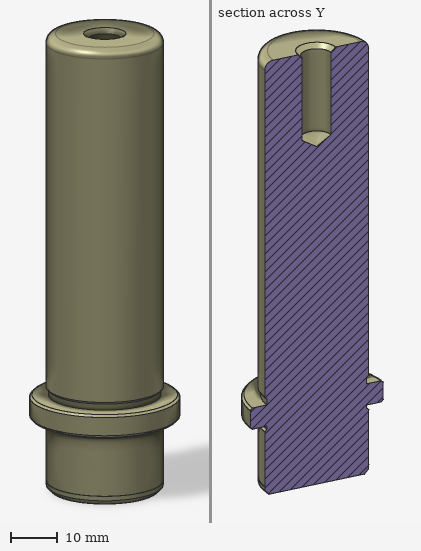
import cadquery as cq
import math

length = 101.0
body_radius = 25.0 / 2
flange_radius = 32.0 / 2
neck_radius = 24.0 / 2

flange_bottom = 16.0
flange_thickness = 5.0
flange_top = flange_bottom + flange_thickness
lower_neck_height = 0.6
upper_neck_height = 1.3

flange_chamfer = 0.5
neck_chamfer_inset = body_radius - neck_radius
neck_chamfer_height = 0.5
top_fillet = 2.0
lead_in_chamfer = 1.0
pilot_height = 2.0
pilot_clearance = 0.05
pilot_radius = body_radius - pilot_clearance

hole_radius = 6.9 / 2
countersink_radius = 9.0 / 2
hole_depth = 20.2
drill_tip_angle = 118.0


def cylinder(radius, bottom, top):
    return cq.Workplane("XY").workplane(offset=bottom).circle(radius).extrude(top - bottom)


def make_spigot():
    """Fitting end below the flange, with a slightly smaller chamfered pilot."""
    return (
        cylinder(pilot_radius, 0, pilot_height)
        .faces("<Z").edges().chamfer(lead_in_chamfer)
        .union(
            cylinder(body_radius, pilot_height, flange_bottom - lower_neck_height)
            .faces(">Z").edges().chamfer(neck_chamfer_height, neck_chamfer_inset)
        )
    )


def make_pillar():
    """Long guide shaft above the flange, rounded at its free end."""
    pillar = cylinder(body_radius, flange_top + upper_neck_height, length)
    return (
        pillar.faces("<Z").edges().chamfer(neck_chamfer_height, neck_chamfer_inset)
        .faces(">Z").edges().fillet(top_fillet)
    )


def make_flange():
    flange = cylinder(flange_radius, flange_bottom, flange_top)
    return flange.edges("%CIRCLE").chamfer(flange_chamfer)


def make_neck():
    """Core joining the shafts and flange, exposed as a relief on each flange side."""
    return cylinder(neck_radius, flange_bottom / 2, flange_top + 2 * upper_neck_height)


def make_hole():
    """Blind drilled hole with a conical tip and a 45 degree countersink."""
    tip_height = hole_radius / math.tan(math.radians(drill_tip_angle / 2))
    countersink_depth = countersink_radius - hole_radius
    hole_floor = length - hole_depth
    return (
        cq.Workplane("XZ")
        .moveTo(0, hole_floor - tip_height)
        .lineTo(hole_radius, hole_floor)
        .lineTo(hole_radius, length - countersink_depth)
        .lineTo(countersink_radius, length)
        .lineTo(0, length)
        .close()
        .revolve(360, (0, 0, 0), (0, 1, 0))
    )


result = (
    make_spigot()
    .union(make_neck())
    .union(make_flange())
    .union(make_pillar())
    .cut(make_hole())
)